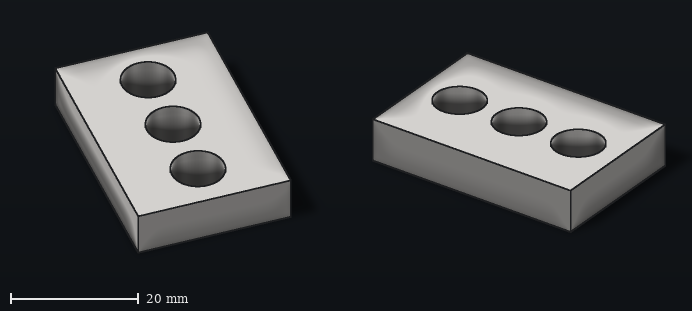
import cadquery as cq

length = 38.1
width = 25.4
height = 7.5

hole_diameter = 8.65
hole_spacing = 11.43
hole_count = 3

block = cq.Workplane("XY").box(length, width, height)

result = (
    block.faces(">Z")
    .workplane()
    .rarray(hole_spacing, 0.4, hole_count, 1)
    .hole(hole_diameter)
)